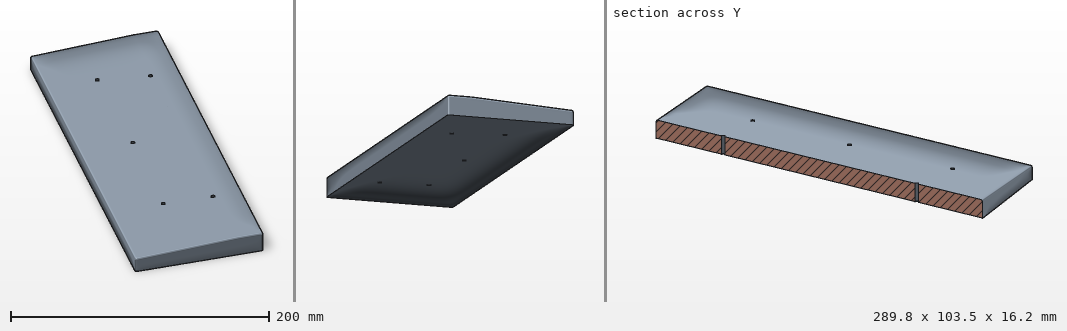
import cadquery as cq

length = 289.8
depth = 103.5
rear_height = 16.2

front_height = 12.0
flat_depth = 20.0

edge_radius = 2.0

hole_diameter = 3.0
hole_positions = [
    (-86.3, 28.5),
    (85.2, 28.5),
    (-95.5, -12.0),
    (-5.5, -9.5),
    (80.8, -10.5),
]


def wedge_body():
    """Side profile extruded along X, with rounded corners and top rim."""
    front = -depth / 2
    rear = depth / 2
    profile = [
        (front, 0),
        (rear, 0),
        (rear, rear_height),
        (rear - flat_depth, rear_height),
        (front, front_height),
    ]
    body = cq.Workplane("YZ").polyline(profile).close().extrude(length / 2, both=True)
    front_rim = "(<Y and (not |Z) and (not <Z))"
    end_rims = "((<X or >X) and (not |Z) and (not <Z))"
    rear_rim = "(>Y and >Z)"
    return body.edges(f"|Z or {front_rim} or {end_rims} or {rear_rim}").fillet(edge_radius)


def through_holes():
    """Vertical cylinders that pass through the full height."""
    return (
        cq.Workplane("XY")
        .pushPoints(hole_positions)
        .circle(hole_diameter / 2)
        .extrude(rear_height)
    )


result = wedge_body().cut(through_holes())